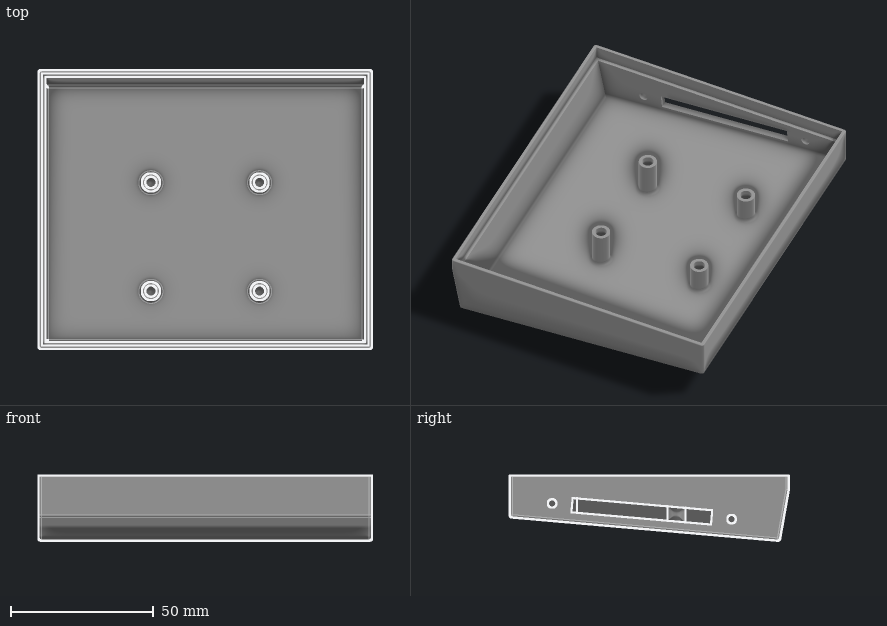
import cadquery as cq
import math

LENGTH = 116.7
DEPTH = 97.65
HEIGHT = 22.87

FLOOR_ANGLE = 5.0
BACK_ANGLE = 10.0
RIM_HEIGHT = 5.0

WALL = 2.5
FLOOR_THICKNESS = 1.45
RIM_WALL = WALL / 2
EDGE_FILLET = 1.0
RIM_EDGE_FILLET = 0.3
FLOOR_EDGE_FILLET = 1.0

BOSS_DIAMETER = 6.4
BOSS_HOLE_DIAMETER = 4.0
BOSS_HOLE_DEPTH = 8.0
DRILL_POINT_ANGLE = 118.0
BOSS_SPACING = 38.0
BOSS_PATTERN_Y = -9.5
BOSS_TOP_Z = -5.0
BOSS_FILLET = 1.0

PORT_LENGTH = 49.0
PORT_HEIGHT = 5.0
PORT_CENTRE_Y = -2.6
PORT_ABOVE_FLOOR = 2.2
SCREW_HOLE_DIAMETER = 3.0
SCREW_HOLE_SPACING = 63.0

FRONT_Y = -DEPTH / 2
BACK_Y = DEPTH / 2
FLOOR_SLOPE = math.tan(math.radians(FLOOR_ANGLE))
BACK_SLOPE = math.tan(math.radians(BACK_ANGLE))

FILLET_CENTRE_LIFT = EDGE_FILLET * (
    (math.cos(math.radians(FLOOR_ANGLE)) + math.sin(math.radians(BACK_ANGLE)))
    / (1 + math.sin(math.radians(BACK_ANGLE - FLOOR_ANGLE)))
)
BACK_BOTTOM_Z = -HEIGHT - (FILLET_CENTRE_LIFT - EDGE_FILLET)
BACK_BOTTOM_Y = BACK_Y - (-RIM_HEIGHT - BACK_BOTTOM_Z) * BACK_SLOPE


def underside_z(y):
    """Height of the sloping underside at a given Y."""
    return BACK_BOTTOM_Z + (BACK_BOTTOM_Y - y) * FLOOR_SLOPE


def floor_z(y):
    """Height of the inner floor, above the underside."""
    return underside_z(y) + FLOOR_THICKNESS / math.cos(math.radians(FLOOR_ANGLE))


def extrude_side_profile(points, length):
    """Extrude a closed YZ outline symmetrically along X."""
    return cq.Workplane("YZ").polyline(points).close().extrude(length / 2, both=True)


def make_body():
    """Solid wedge with rounded outer edges."""
    body = extrude_side_profile(
        [
            (FRONT_Y, 0),
            (BACK_Y, 0),
            (BACK_Y, -RIM_HEIGHT),
            (BACK_BOTTOM_Y, BACK_BOTTOM_Z),
            (FRONT_Y, underside_z(FRONT_Y)),
        ],
        LENGTH,
    )
    bend = cq.selectors.BoxSelector(
        (-LENGTH, BACK_Y - RIM_WALL, -RIM_HEIGHT - RIM_WALL),
        (LENGTH, BACK_Y + RIM_WALL, -RIM_HEIGHT + RIM_WALL),
    )
    top_edges = body.faces(">Z").edges()
    bend_edge = body.edges("|X").edges(bend)
    outer_edges = body.edges().newObject(
        [e for e in body.edges().vals()
         if e not in top_edges.vals() and e not in bend_edge.vals()]
    )
    body = outer_edges.fillet(EDGE_FILLET)
    return body.faces(">Z").edges().fillet(RIM_EDGE_FILLET)


def make_cavity():
    """Inner space with its floor edges rounded."""
    front = FRONT_Y + WALL
    back = BACK_Y - WALL
    bend_z = -RIM_HEIGHT - WALL * math.tan(math.radians(BACK_ANGLE / 2))
    drop = (bend_z - floor_z(back)) / (1 + BACK_SLOPE * FLOOR_SLOPE)
    corner_y = back - drop * BACK_SLOPE
    cavity = extrude_side_profile(
        [
            (front, 0),
            (back, 0),
            (back, bend_z),
            (corner_y, floor_z(corner_y)),
            (front, floor_z(front)),
        ],
        LENGTH - 2 * WALL,
    )
    return cavity.faces("<Z").edges().fillet(FLOOR_EDGE_FILLET)


def make_rim_recess():
    """Shallow step around the opening that leaves a thinner rim."""
    return cq.Workplane("XY").rect(LENGTH - 2 * RIM_WALL, DEPTH - 2 * RIM_WALL).extrude(-RIM_HEIGHT)


def boss_points():
    """Centres of the four standoffs."""
    half = BOSS_SPACING / 2
    return [(x, BOSS_PATTERN_Y + y) for x in (-half, half) for y in (-half, half)]


def add_bosses(tray):
    """Vertical posts with level tops, rooted in the sloping floor."""
    for x, y in boss_points():
        root_z = floor_z(y) - FLOOR_THICKNESS / 2
        boss = (
            cq.Workplane("XY", origin=(x, y, root_z))
            .circle(BOSS_DIAMETER / 2)
            .extrude(BOSS_TOP_Z - root_z)
        )
        tray = tray.union(boss)
        base = cq.selectors.BoxSelector(
            (x - BOSS_DIAMETER, y - BOSS_DIAMETER, root_z),
            (x + BOSS_DIAMETER, y + BOSS_DIAMETER, floor_z(y) + WALL / 2),
        )
        tray = tray.edges("%ELLIPSE").edges(base).fillet(BOSS_FILLET)
    return tray


def make_boss_hole(x, y):
    """Blind hole with a conical drill point, opening at the top of a boss."""
    radius = BOSS_HOLE_DIAMETER / 2
    point_depth = radius / math.tan(math.radians(DRILL_POINT_ANGLE / 2))
    return (
        cq.Workplane("XZ", origin=(x, y, BOSS_TOP_Z))
        .polyline([
            (0, 0),
            (radius, 0),
            (radius, -BOSS_HOLE_DEPTH),
            (0, -BOSS_HOLE_DEPTH - point_depth),
        ])
        .close()
        .revolve(360, (0, 0, 0), (0, 1, 0))
    )


def make_port():
    """Rectangular opening and two screw holes through the +X wall."""
    centre_z = (
        floor_z(PORT_CENTRE_Y)
        + (PORT_ABOVE_FLOOR + PORT_HEIGHT / 2) / math.cos(math.radians(FLOOR_ANGLE))
    )
    plane = cq.Plane(
        origin=(LENGTH / 2 - 2 * WALL, PORT_CENTRE_Y, centre_z),
        xDir=(0, 1, -FLOOR_SLOPE),
        normal=(1, 0, 0),
    )
    opening = cq.Workplane(plane).rect(PORT_LENGTH, PORT_HEIGHT).extrude(3 * WALL)
    screw_holes = (
        cq.Workplane(plane)
        .pushPoints([(-SCREW_HOLE_SPACING / 2, 0), (SCREW_HOLE_SPACING / 2, 0)])
        .circle(SCREW_HOLE_DIAMETER / 2)
        .extrude(3 * WALL)
    )
    return opening.union(screw_holes)


tray = make_body().cut(make_cavity()).cut(make_rim_recess())
tray = add_bosses(tray)
for boss_x, boss_y in boss_points():
    tray = tray.cut(make_boss_hole(boss_x, boss_y))
result = tray.cut(make_port())